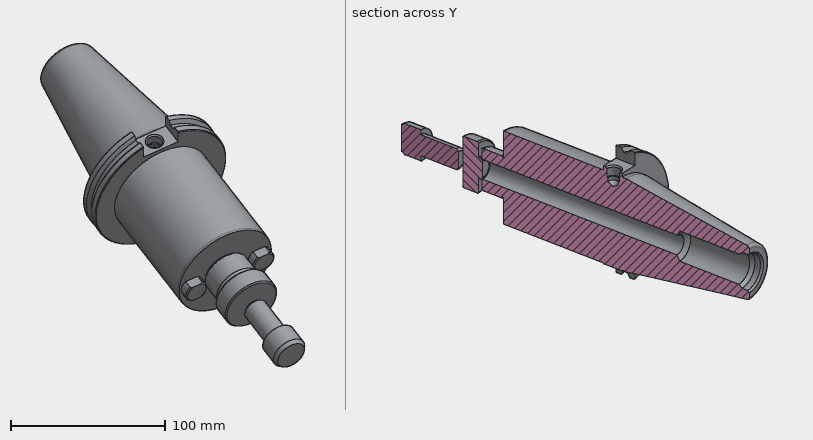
import cadquery as cq
import math


GAUGE_DIAMETER = 69.8
TAPER_RATIO = 7 / 24
TAPER_LENGTH = 101.7
TAPER_END_FILLET = 2.3

FLANGE_START = 3.2
FLANGE_WIDTH = 15.8
FLANGE_DIAMETER = 98.2
FLANGE_CHAMFER = 0.5
GROOVE_CENTRE = 11.0
GROOVE_DEPTH = 3.0
GROOVE_FLOOR_WIDTH = 3.5
GROOVE_HALF_ANGLE = math.radians(30)

SLOT_WIDTH = 25.8
TOP_SLOT_FLOOR = 37.5
BOTTOM_SLOT_FLOOR = 35.3

SLOT_HOLE_MOUTH_DIAMETER = 12.0
SLOT_HOLE_DIAMETER = 10.0
SLOT_HOLE_DEPTH = 7.2
SLOT_DRILL_DIAMETER = 8.0
SLOT_DRILL_DEPTH = 10.0

BODY_DIAMETER = GAUGE_DIAMETER
BODY_END = 101.5
BODY_END_CHAMFER_LENGTH = 1.5
BODY_END_CHAMFER_HEIGHT = 0.3
SPIGOT_DIAMETER = 32.0
SPIGOT_LENGTH = 18.0
SPIGOT_CHAMFER_LENGTH = 2.0
SPIGOT_CHAMFER_HEIGHT = 1.0
UNDERCUT_DIAMETER = 30.2
UNDERCUT_WIDTH = 1.1

BORE_MOUTH_DIAMETER = 29.0
BORE_MOUTH_DEPTH = 1.5
COUNTERBORE_DIAMETER = 26.5
COUNTERBORE_DEPTH = 6.0
DRAWBAR_BORE_DIAMETER = 22.0
DRAWBAR_BORE_START = 8.5
DRAWBAR_BORE_DEPTH = 57.5
THROUGH_BORE_DIAMETER = 14.5
DRILL_HALF_ANGLE = math.radians(59)
COUNTERSINK_DEPTH = 1.1

KEY_DIAMETER = 15.8
KEY_WIDTH = 13.0
KEY_HEIGHT = 6.5
KEY_CHAMFER = 1.0
KEY_OFFSET = 25.3

DISC_START = 121.8
DISC_DIAMETER = 38.8
DISC_WIDTH = 13.2
DISC_CHAMFER = 1.0

SCREW_DIAMETER = 16.0
SCREW_TIP_DIAMETER = 13.0
SCREW_TIP_CHAMFER = 1.7
LOCK_SCREW_TIP = 118.3
CAP_SCREW_TIP = 138.0
SHANK_LENGTH = 31.0
HEAD_DIAMETER = 23.5
HEAD_LENGTH = 16.5
HEAD_CHAMFER_LENGTH = 2.5
HEAD_CHAMFER_HEIGHT = 1.7

FLANGE_END = FLANGE_START + FLANGE_WIDTH
SPIGOT_END = BODY_END + SPIGOT_LENGTH


def turned(profile):
    """Solid of revolution about X of a closed outline of (x, radius) points."""
    return cq.Workplane("XY").polyline(profile).close().revolve(360, (0, 0, 0), (1, 0, 0))


def shank():
    """Taper with a rounded small end and a short cylinder up to the flange."""
    gauge_radius = GAUGE_DIAMETER / 2
    end_radius = gauge_radius - TAPER_LENGTH * TAPER_RATIO / 2
    cone = turned([
        (-TAPER_LENGTH, 0),
        (-TAPER_LENGTH, end_radius),
        (0, gauge_radius),
        (FLANGE_START, gauge_radius),
        (FLANGE_START, 0),
    ])
    return cone.faces("<X").edges().fillet(TAPER_END_FILLET)


def flange():
    """Disc with chamfered rims, a V groove and two driving slots."""
    radius = FLANGE_DIAMETER / 2
    rim = radius - FLANGE_CHAMFER
    floor_half = GROOVE_FLOOR_WIDTH / 2
    mouth_half = floor_half + GROOVE_DEPTH * math.tan(GROOVE_HALF_ANGLE)
    disc = turned([
        (FLANGE_START, 0),
        (FLANGE_START, rim),
        (FLANGE_START + FLANGE_CHAMFER, radius),
        (GROOVE_CENTRE - mouth_half, radius),
        (GROOVE_CENTRE - floor_half, radius - GROOVE_DEPTH),
        (GROOVE_CENTRE + floor_half, radius - GROOVE_DEPTH),
        (GROOVE_CENTRE + mouth_half, radius),
        (FLANGE_END - FLANGE_CHAMFER, radius),
        (FLANGE_END, rim),
        (FLANGE_END, 0),
    ])
    slot_x = FLANGE_START + FLANGE_WIDTH / 2
    for floor, side in ((TOP_SLOT_FLOOR, 1), (BOTTOM_SLOT_FLOOR, -1)):
        depth = radius - floor
        slot = cq.Workplane("XY").box(FLANGE_WIDTH, SLOT_WIDTH, depth)
        disc = disc.cut(slot.translate((slot_x, 0, side * (floor + depth / 2))))
    return disc


def body():
    """Cylinder behind the flange, ending in the undercut spigot."""
    body_radius = BODY_DIAMETER / 2
    spigot_radius = SPIGOT_DIAMETER / 2
    return turned([
        (FLANGE_END, 0),
        (FLANGE_END, body_radius),
        (BODY_END - BODY_END_CHAMFER_LENGTH, body_radius),
        (BODY_END, body_radius - BODY_END_CHAMFER_HEIGHT),
        (BODY_END, UNDERCUT_DIAMETER / 2),
        (BODY_END + UNDERCUT_WIDTH, UNDERCUT_DIAMETER / 2),
        (BODY_END + UNDERCUT_WIDTH, spigot_radius),
        (SPIGOT_END - SPIGOT_CHAMFER_LENGTH, spigot_radius),
        (SPIGOT_END, spigot_radius - SPIGOT_CHAMFER_HEIGHT),
        (SPIGOT_END, 0),
    ])


def axial_bore():
    """Drawbar hole from the small end, running into a through bore countersunk at the spigot."""
    drawbar_radius = DRAWBAR_BORE_DIAMETER / 2
    through_radius = THROUGH_BORE_DIAMETER / 2
    drill_cone = (drawbar_radius - through_radius) / math.tan(DRILL_HALF_ANGLE)
    return turned([
        (-TAPER_LENGTH, 0),
        (-TAPER_LENGTH, BORE_MOUTH_DIAMETER / 2),
        (-TAPER_LENGTH + BORE_MOUTH_DEPTH, COUNTERBORE_DIAMETER / 2),
        (-TAPER_LENGTH + COUNTERBORE_DEPTH, COUNTERBORE_DIAMETER / 2),
        (-TAPER_LENGTH + DRAWBAR_BORE_START, drawbar_radius),
        (-TAPER_LENGTH + DRAWBAR_BORE_DEPTH, drawbar_radius),
        (-TAPER_LENGTH + DRAWBAR_BORE_DEPTH + drill_cone, through_radius),
        (SPIGOT_END - COUNTERSINK_DEPTH, through_radius),
        (SPIGOT_END, SCREW_DIAMETER / 2),
        (SPIGOT_END, 0),
    ])


def slot_hole():
    """Chamfered, stepped blind hole with a drill point, going down from the top slot floor."""
    mouth_radius = SLOT_HOLE_MOUTH_DIAMETER / 2
    hole_radius = SLOT_HOLE_DIAMETER / 2
    drill_radius = SLOT_DRILL_DIAMETER / 2
    drill_point = drill_radius / math.tan(DRILL_HALF_ANGLE)
    outline = [
        (0, 0),
        (mouth_radius, 0),
        (hole_radius, hole_radius - mouth_radius),
        (hole_radius, -SLOT_HOLE_DEPTH),
        (drill_radius, -SLOT_HOLE_DEPTH),
        (drill_radius, -SLOT_DRILL_DEPTH),
        (0, -SLOT_DRILL_DEPTH - drill_point),
    ]
    hole = cq.Workplane("XZ").polyline(outline).close().revolve(360, (0, 0, 0), (0, 1, 0))
    return hole.translate((GROOVE_CENTRE, 0, TOP_SLOT_FLOOR))


def arbor():
    """Shank, flange, body and spigot in one piece, with its holes."""
    return shank().union(flange()).union(body()).cut(axial_bore()).cut(slot_hole())


def drive_key(side):
    """Round key with two flats and a chamfered tip; side is +1 or -1 along Y."""
    key = cq.Workplane("YZ").circle(KEY_DIAMETER / 2).extrude(KEY_HEIGHT)
    key = key.faces(">X").edges().chamfer(KEY_CHAMFER)
    flats = cq.Workplane("YZ").rect(KEY_DIAMETER, KEY_WIDTH).extrude(KEY_HEIGHT)
    return key.intersect(flats).translate((BODY_END, side * KEY_OFFSET, 0))


def lock_screw():
    """Disc whose chamfered hub reaches into the countersink of the spigot."""
    radius = DISC_DIAMETER / 2
    disc_end = DISC_START + DISC_WIDTH
    return turned([
        (LOCK_SCREW_TIP, 0),
        (LOCK_SCREW_TIP, SCREW_TIP_DIAMETER / 2),
        (LOCK_SCREW_TIP + SCREW_TIP_CHAMFER, SCREW_DIAMETER / 2),
        (DISC_START, SCREW_DIAMETER / 2),
        (DISC_START, radius - DISC_CHAMFER),
        (DISC_START + DISC_CHAMFER, radius),
        (disc_end - DISC_CHAMFER, radius),
        (disc_end, radius - DISC_CHAMFER),
        (disc_end, 0),
    ])


def cap_screw():
    """Screw with a chamfered tip and a cylindrical head, in line with the lock screw."""
    head_radius = HEAD_DIAMETER / 2
    head_start = CAP_SCREW_TIP + SHANK_LENGTH
    head_end = head_start + HEAD_LENGTH
    return turned([
        (CAP_SCREW_TIP, 0),
        (CAP_SCREW_TIP, SCREW_TIP_DIAMETER / 2),
        (CAP_SCREW_TIP + SCREW_TIP_CHAMFER, SCREW_DIAMETER / 2),
        (head_start, SCREW_DIAMETER / 2),
        (head_start, head_radius),
        (head_end - HEAD_CHAMFER_LENGTH, head_radius),
        (head_end, head_radius - HEAD_CHAMFER_HEIGHT),
        (head_end, 0),
    ])


drive_keys = [drive_key(side) for side in (1, -1)]

result = cq.Compound.makeCompound([
    arbor().val(),
    *[key.val() for key in drive_keys],
    lock_screw().val(),
    cap_screw().val(),
])